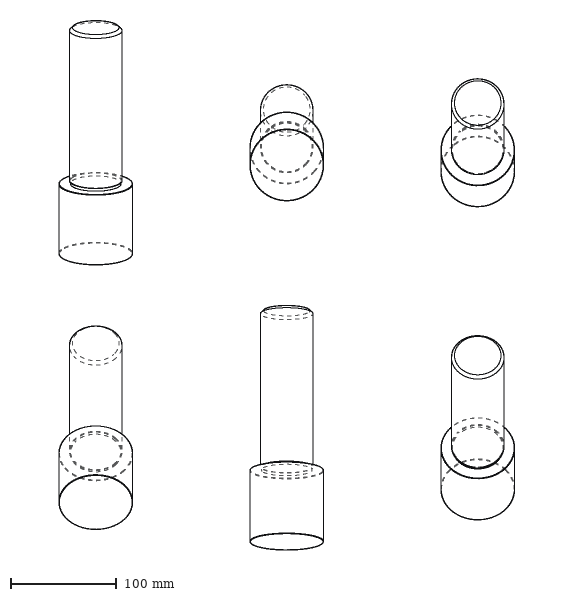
import cadquery as cq

total_height = 225.0
head_diameter = 70.0
head_height = 70.0
head_edge_chamfer = 0.5
shank_diameter = 50.0
shank_tip_chamfer = 3.0
groove_width = 3.0
groove_depth = 1.0


def make_head():
    """Cylindrical head standing on Z = 0, with both rims broken."""
    head = cq.Workplane("XY").circle(head_diameter / 2).extrude(head_height)
    return head.faces("<Z or >Z").edges().chamfer(head_edge_chamfer)


def make_shank():
    """Plain shank rising from the head, chamfered at its free end."""
    shank_length = total_height - head_height
    shank = (
        cq.Workplane("XY")
        .workplane(offset=head_height)
        .circle(shank_diameter / 2)
        .extrude(shank_length)
    )
    return shank.faces(">Z").edges().chamfer(shank_tip_chamfer)


def make_relief_groove():
    """Ring removed from the foot of the shank, just above the head."""
    return (
        cq.Workplane("XY")
        .workplane(offset=head_height)
        .circle(shank_diameter / 2)
        .circle(shank_diameter / 2 - groove_depth)
        .extrude(groove_width)
    )


result = make_head().union(make_shank().cut(make_relief_groove()))